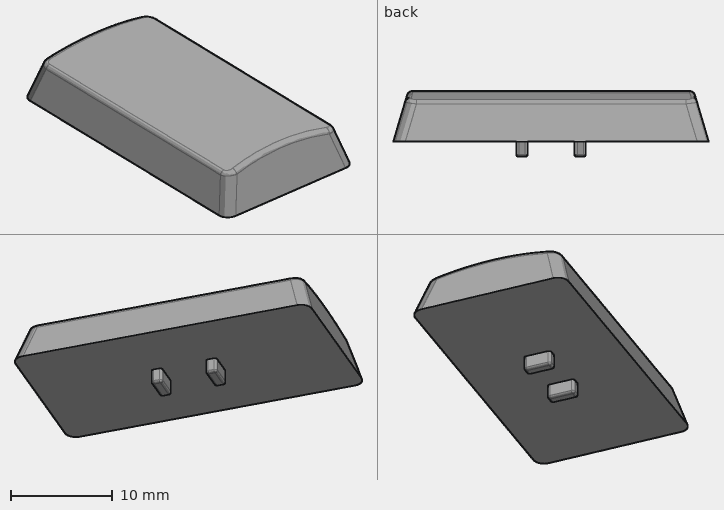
import cadquery as cq

length = 31.0
width = 16.5
cap_height = 5.0
side_taper = 16.5
corner_radius = 1.2
crown_radius = 26.97
top_edge_radius = 0.62

peg_length = 1.15
peg_width = 2.88
peg_drop = 1.5
peg_spacing = 5.7
peg_corner_radius = 0.28
peg_tip_radius = 0.25


def make_cap():
    """Tapered block with rounded corners and a cylindrical crown."""
    block = cq.Workplane("XY").rect(length, width).extrude(cap_height, taper=side_taper)
    side_edges = block.edges("not(#Z or |X or |Y)")
    block = side_edges.fillet(corner_radius)
    crown = (
        cq.Workplane("YZ")
        .center(0, cap_height - crown_radius)
        .circle(crown_radius)
        .extrude(length / 2, both=True)
    )
    crowned = block.intersect(crown)
    return crowned.faces(">Z").edges().fillet(top_edge_radius)


def make_peg(x_center):
    """Rounded rectangular peg hanging below the cap."""
    peg = (
        cq.Workplane("XY")
        .center(x_center, 0)
        .rect(peg_length, peg_width)
        .extrude(-peg_drop)
    )
    peg = peg.edges("|Z").fillet(peg_corner_radius)
    return peg.faces("<Z").edges().fillet(peg_tip_radius)


result = make_cap()
for side in (-1, 1):
    result = result.union(make_peg(side * peg_spacing / 2))